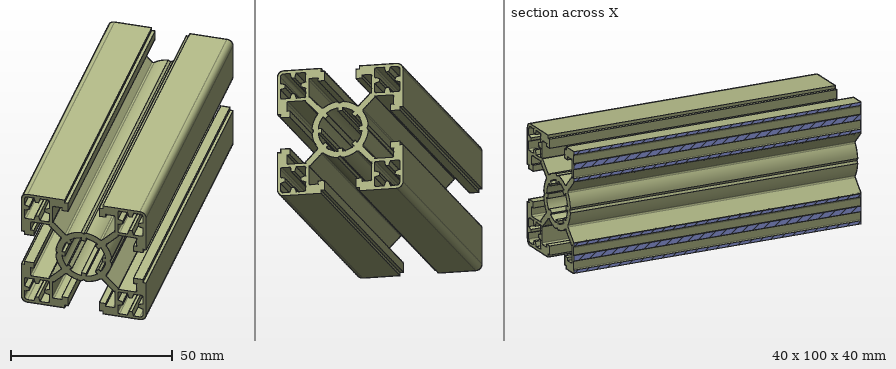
import cadquery as cq
import math

SIZE = 40.0
LENGTH = 100.0
HALF = SIZE / 2

TUBE_SIZE = 10.0
TUBE_WALL = 1.0
OUTER_RADIUS = 2.0
CELL_RADIUS = 0.5
CELL_OUTER_RADIUS = OUTER_RADIUS - TUBE_WALL
CELL_SIZE = TUBE_SIZE - 2 * TUBE_WALL
CELL_RIB_ROOT_WIDTH = 2.0
CELL_RIB_TIP_WIDTH = 1.0
CELL_RIB_HEIGHT = 1.5

LIP_TIP = 5.0
LIP_STEP = 6.1
LIP_HOOK = 7.0
LIP_STEP_DEPTH = 1.0
LIP_THICKNESS = 3.0
LIP_HOOK_DEPTH = 4.0
SLOT_FILLET = 0.5

RING_OUTER_RADIUS = 9.0
RING_INNER_RADIUS = 7.0
RING_RIB_COUNT = 8
RING_RIB_WIDTH = 1.5
RING_RIB_TIP_RADIUS = 6.0
GROOVE_WIDTH = 1.6
GROOVE_DEPTH = 0.5
WEB_WIDTH = 2.0
WEB_FILLET = 0.5
MATCH_TOLERANCE = 0.05


def section():
    """Sketch plane of the cross-section: local x is X, local y is Z."""
    return cq.Workplane("XZ")


def prism(sketch):
    """Extrude a closed outline over the whole length, centred on Y = 0."""
    return sketch.extrude(LENGTH / 2, both=True)


def turned(body, angle):
    """Rotate a body about the profile's axis."""
    return body.rotate((0, 0, 0), (0, 1, 0), angle)


def mirrored_across_diagonal(body):
    """Swap the X and Z directions of a body."""
    return body.mirror("XY").rotate((0, 0, 0), (0, 1, 0), -90)


def lip():
    """Lip along the +Z face, reaching from the +X tube towards the slot opening."""
    root = HALF - TUBE_SIZE
    underside = HALF - LIP_THICKNESS
    sketch = (
        section()
        .moveTo(root + TUBE_WALL, HALF)
        .lineTo(LIP_STEP, HALF)
        .lineTo(LIP_STEP, HALF - LIP_STEP_DEPTH)
        .lineTo(LIP_TIP, HALF - LIP_STEP_DEPTH)
        .lineTo(LIP_TIP, HALF - LIP_HOOK_DEPTH)
        .lineTo(LIP_HOOK, HALF - LIP_HOOK_DEPTH)
        .lineTo(LIP_HOOK, underside)
        .lineTo(root - SLOT_FILLET, underside)
        .radiusArc((root, underside - SLOT_FILLET), SLOT_FILLET)
        .lineTo(root + TUBE_WALL, underside - SLOT_FILLET)
        .close()
    )
    return prism(sketch)


def corner_cell():
    """Hollow of the +X +Z tube, with a tapered rib left standing in each of its four walls."""
    centre = HALF - TUBE_SIZE / 2
    cell = prism(section().rect(CELL_SIZE, CELL_SIZE))
    cell = cell.edges("|Y").edges(">X and >Z").fillet(CELL_OUTER_RADIUS)
    cell = cell.edges("|Y").edges("<X or <Z").fillet(CELL_RADIUS)
    root_height = CELL_SIZE / 2
    tip_height = root_height - CELL_RIB_HEIGHT
    rib = prism(
        section()
        .moveTo(-CELL_RIB_ROOT_WIDTH / 2, root_height)
        .lineTo(CELL_RIB_ROOT_WIDTH / 2, root_height)
        .lineTo(CELL_RIB_TIP_WIDTH / 2, tip_height)
        .lineTo(-CELL_RIB_TIP_WIDTH / 2, tip_height)
        .close()
    )
    for quarter in range(4):
        cell = cell.cut(turned(rib, 90 * quarter))
    return cell.translate((centre, 0, centre))


def diagonal_web():
    """Web from the ring to the inner corner of the +X +Z tube."""
    start = (RING_INNER_RADIUS + RING_OUTER_RADIUS) / 2
    end = (HALF - TUBE_SIZE + TUBE_WALL / 2) * math.sqrt(2)
    web = prism(section().center((start + end) / 2, 0).rect(end - start, WEB_WIDTH))
    return turned(web, -45)


def corner():
    """Everything outside the ring in the +X +Z quadrant."""
    centre = HALF - TUBE_SIZE / 2
    tube = prism(section().center(centre, centre).rect(TUBE_SIZE, TUBE_SIZE))
    tube = tube.edges("|Y").edges(">X and >Z").fillet(OUTER_RADIUS)
    top_lip = lip()
    body = tube.union(top_lip).union(mirrored_across_diagonal(top_lip))
    return body.union(diagonal_web()).cut(corner_cell())


def ring():
    """Central ring with inward ribs and a V groove facing each slot."""
    body = prism(section().circle(RING_OUTER_RADIUS).circle(RING_INNER_RADIUS))
    rib_root = (RING_INNER_RADIUS + RING_OUTER_RADIUS) / 2
    rib_height = rib_root - RING_RIB_TIP_RADIUS
    rib_centre = RING_RIB_TIP_RADIUS + rib_height / 2
    rib = prism(section().center(0, rib_centre).rect(RING_RIB_WIDTH, rib_height))
    for index in range(RING_RIB_COUNT):
        body = body.union(turned(rib, 360 / RING_RIB_COUNT * index))
    half_width = GROOVE_WIDTH / 2
    mouth = math.sqrt(RING_OUTER_RADIUS**2 - half_width**2)
    groove = prism(
        section()
        .moveTo(0, RING_OUTER_RADIUS - GROOVE_DEPTH)
        .lineTo(half_width, mouth)
        .lineTo(half_width, RING_OUTER_RADIUS)
        .lineTo(-half_width, RING_OUTER_RADIUS)
        .lineTo(-half_width, mouth)
        .close()
    )
    for quarter in range(4):
        body = body.cut(turned(groove, 90 * quarter))
    return body


def web_root_edges(body):
    """Eight concave edges where the webs run into the outside of the ring."""
    half_span = WEB_WIDTH / 2
    along = math.sqrt(RING_OUTER_RADIUS**2 - half_span**2)
    near = (along - half_span) / math.sqrt(2)
    far = (along + half_span) / math.sqrt(2)
    picked = []
    for edge in body.edges("|Y").vals():
        centre = edge.Center()
        low, high = sorted((abs(centre.x), abs(centre.z)))
        if abs(low - near) < MATCH_TOLERANCE and abs(high - far) < MATCH_TOLERANCE:
            picked.append(edge)
    return body.newObject(picked)


result = ring()
quadrant = corner()
for quarter in range(4):
    result = result.union(turned(quadrant, 90 * quarter))
result = web_root_edges(result).fillet(WEB_FILLET)